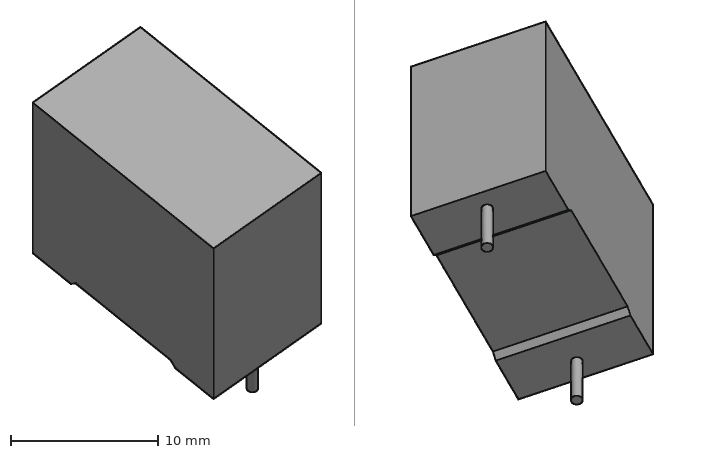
import cadquery as cq

body_length = 18.0
body_width = 10.0
total_height = 19.5

lead_length = 4.0
lead_diameter = 0.8
lead_spacing = 15.0
lead_embed = 0.98

channel_depth = 0.45
channel_bottom_length = 10.37
channel_top_length = 9.44

body_height = total_height - lead_length


def make_body():
    """Plain box standing on Z = 0."""
    return cq.Workplane("XY").box(body_length, body_width, body_height, centered=(True, True, False))


def make_channel():
    """Trapezoidal prism running the full width of the underside."""
    return (
        cq.Workplane("XZ")
        .polyline([
            (-channel_bottom_length / 2, 0),
            (channel_bottom_length / 2, 0),
            (channel_top_length / 2, channel_depth),
            (-channel_top_length / 2, channel_depth),
        ])
        .close()
        .extrude(body_width / 2, both=True)
    )


def make_leads():
    """Two straight pins below the body, on its middle plane."""
    return (
        cq.Workplane("XY", origin=(0, 0, -lead_length))
        .pushPoints([(-lead_spacing / 2, 0), (lead_spacing / 2, 0)])
        .circle(lead_diameter / 2)
        .extrude(lead_length + lead_embed)
    )


result = make_body().cut(make_channel()).union(make_leads())